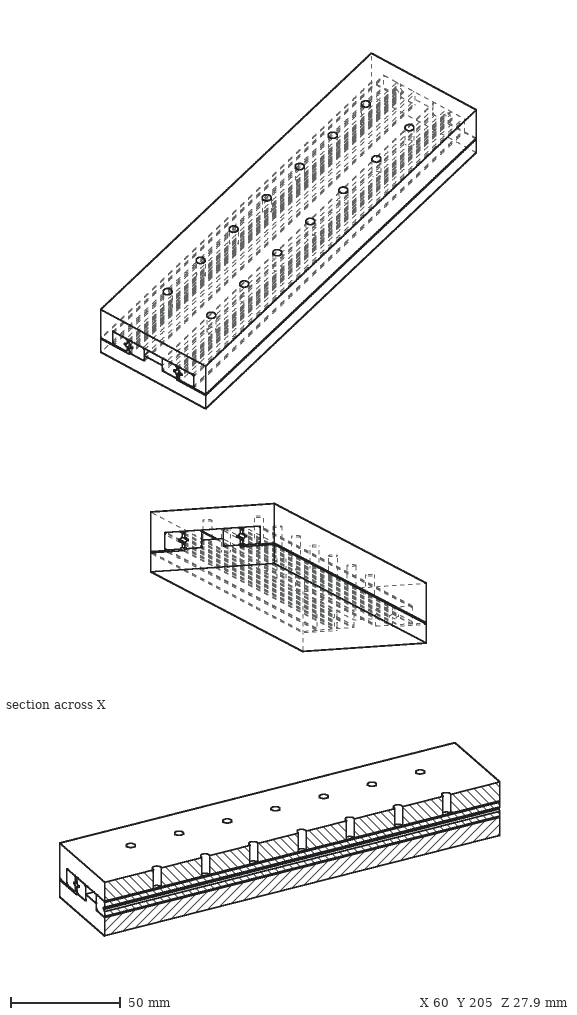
import cadquery as cq

length = 205.0
width = 60.0
height = 27.9
half_width = width / 2

base_ledge_z = 8.8
table_bottom_z = 9.5
rail_bottom_z = 9.6
base_rib_z = 13.1
rail_top_z = 17.8
rail_mid_z = (rail_bottom_z + rail_top_z) / 2

rail_pair_outer_x = 23.2
rail_pair_inner_x = 5.1
rail_pair_mid_x = (rail_pair_outer_x + rail_pair_inner_x) / 2
rail_gap = 1.2
rail_width = (rail_pair_outer_x - rail_pair_inner_x - rail_gap) / 2
rail_chamfer = 0.8
groove_depth = 1.5
relief_depth = 1.6
relief_width = 0.6

hole_diameter = 4.0
hole_pitch = 25.0
holes_per_row = 7
hole_row_spacing = hole_pitch


def extrude_along_y(profile):
    """Extrude a profile drawn in X and Z over the whole length, centred on Y = 0."""
    return profile.extrude(length / 2, both=True)


def box_between(x_min, x_max, z_min, z_max):
    """Full-length rectangular bar between two X and two Z positions."""
    profile = cq.Workplane("XZ").moveTo(x_min, z_min).lineTo(x_max, z_min)
    return extrude_along_y(profile.lineTo(x_max, z_max).lineTo(x_min, z_max).close())


def make_base():
    """Lower plate with a raised seat for the inner rails and a rib between them."""
    seat_half_width = rail_pair_mid_x - rail_gap / 2
    plate = box_between(-half_width, half_width, 0, base_ledge_z)
    seat = box_between(-seat_half_width, seat_half_width, base_ledge_z, rail_bottom_z)
    rib = box_between(-rail_pair_inner_x, rail_pair_inner_x, rail_bottom_z, base_rib_z)
    return plate.union(seat).union(rib)


def make_table():
    """Upper plate with a channel for the rails and two rows of screw holes through its roof."""
    block = box_between(-half_width, half_width, table_bottom_z, height)
    channel = box_between(-rail_pair_outer_x, rail_pair_outer_x, table_bottom_z, rail_top_z)
    holes = (
        cq.Workplane("XY")
        .workplane(offset=rail_top_z)
        .rarray(hole_row_spacing, hole_pitch, 2, holes_per_row)
        .circle(hole_diameter / 2)
        .extrude(height - rail_top_z)
    )
    return block.cut(channel).cut(holes)


def make_rail(x_left, groove_side):
    """Chamfered rail with a 90 degree roller groove and a narrow relief slot at its root.

    groove_side is +1 for a groove facing +X and -1 for one facing -X.
    """
    x_right = x_left + rail_width
    bar = box_between(x_left, x_right, rail_bottom_z, rail_top_z).edges("|Y").chamfer(rail_chamfer)
    groove_face_x = x_right if groove_side > 0 else x_left
    groove = extrude_along_y(
        cq.Workplane("XZ")
        .moveTo(groove_face_x, rail_mid_z - groove_depth)
        .lineTo(groove_face_x, rail_mid_z + groove_depth)
        .lineTo(groove_face_x - groove_side * groove_depth, rail_mid_z)
        .close()
    )
    relief_end_x = groove_face_x - groove_side * relief_depth
    relief = box_between(
        min(groove_face_x, relief_end_x),
        max(groove_face_x, relief_end_x),
        rail_mid_z - relief_width / 2,
        rail_mid_z + relief_width / 2,
    )
    return bar.cut(groove).cut(relief)


base = make_base()
table = make_table()

rails = []
for x_left, groove_side in [
    (-rail_pair_outer_x, 1),
    (-rail_pair_inner_x - rail_width, -1),
    (rail_pair_inner_x, 1),
    (rail_pair_outer_x - rail_width, -1),
]:
    rails.append(make_rail(x_left, groove_side).val())

result = cq.Compound.makeCompound([base.val(), table.val(), *rails])